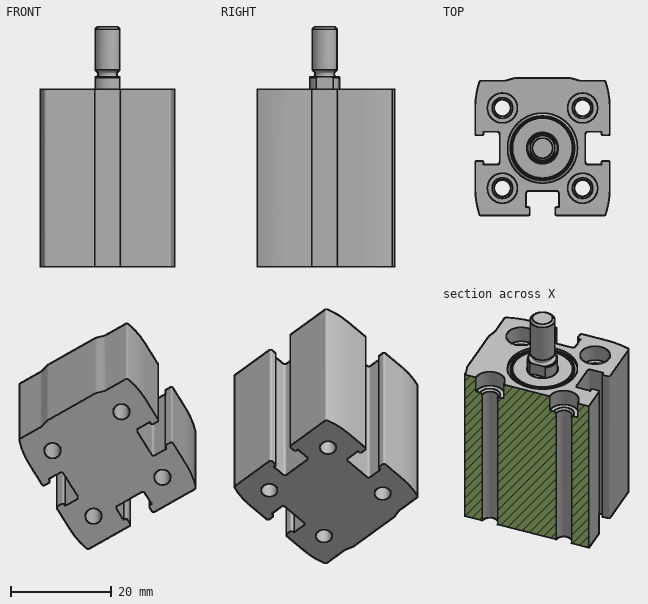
import cadquery as cq
import math


housing_height = 35.5
half_width = 13.5
side_flat_half = 8.0
corner_inset = 0.9
corner_radius = 0.5
pad_height = 0.55
pad_top_half = 5.6
pad_base_half = 7.4
pad_blend_radius = 1.9

slot_mouth_half = 2.55
slot_inner_half = 3.25
slot_floor = 8.6
slot_lip = 11.75
slot_floor_radius = 0.5
slot_lip_radius = 0.4

hole_offset = 8.0
hole_diameter = 3.25
counterbore_diameter = 6.0
counterbore_depth = 3.5
countersink_diameter = 4.15

cover_recess = 0.2
cover_face_radius = 5.65
cover_rim_radius = 6.0
cover_land_radius = 6.3
rim_recess = 0.25
land_recess = 0.5
groove_inner_radius = 6.45
groove_outer_radius = 7.0
groove_inner_depth = 0.3
groove_depth = 0.6
cover_z = housing_height - cover_recess

overall_height = 48.0
rod_diameter = 6.0
rod_radius = rod_diameter / 2
rod_end_depth = 4.8
rod_end_z = housing_height - rod_end_depth
rod_hole_chamfer = 0.15
rod_mouth_z = cover_z - rod_hole_chamfer
collar_top = housing_height + 2.5
collar_chamfer = 0.2
flat_half = 2.5
shoulder_rise = 0.25
thread_radius = 2.5
thread_bottom = 39.35
thread_chamfer = 0.5
neck_diameter = 3.9
neck_radius = neck_diameter / 2
neck_fillet = 0.3


def housing_block():
    """Extruded block with bowed sides and a raised pad along +Y."""
    flank_run = half_width - side_flat_half
    bow_radius = (flank_run**2 + corner_inset**2) / (2 * corner_inset)
    half_angle = math.asin(flank_run / bow_radius) / 2
    mid_x = half_width - bow_radius * (1 - math.cos(half_angle))
    mid_y = side_flat_half + bow_radius * math.sin(half_angle)
    corner_x = half_width - corner_inset
    pad_y = half_width + pad_height
    block = (
        cq.Workplane("XY")
        .moveTo(-corner_x, -half_width)
        .lineTo(corner_x, -half_width)
        .threePointArc((mid_x, -mid_y), (half_width, -side_flat_half))
        .lineTo(half_width, side_flat_half)
        .threePointArc((mid_x, mid_y), (corner_x, half_width))
        .lineTo(pad_base_half, half_width)
        .lineTo(pad_top_half, pad_y)
        .lineTo(-pad_top_half, pad_y)
        .lineTo(-pad_base_half, half_width)
        .lineTo(-corner_x, half_width)
        .threePointArc((-mid_x, mid_y), (-half_width, side_flat_half))
        .lineTo(-half_width, -side_flat_half)
        .threePointArc((-mid_x, -mid_y), (-corner_x, -half_width))
        .close()
        .extrude(housing_height)
    )
    corners = [(x, y) for x in (-corner_x, corner_x) for y in (-half_width, half_width)]
    pad_ends = [(side * x, y) for side in (-1, 1)
                for x, y in ((pad_base_half, half_width), (pad_top_half, pad_y))]
    block = fillet_upright_edges(block, corners, corner_radius)
    return fillet_upright_edges(block, pad_ends, pad_blend_radius)


def fillet_upright_edges(body, points, radius):
    """Round the vertical edges of the body that stand at the given XY points."""
    tolerance = 0.05
    selected = body.edges("|Z").filter(
        lambda edge: any(math.dist((edge.Center().x, edge.Center().y), p) < tolerance for p in points)
    )
    return selected.fillet(radius)


def cut_t_slot(body, turn):
    """Cut one T-slot along Z; turn is the angle from the -Y side about Z."""
    mouth = [(side * slot_mouth_half, -half_width) for side in (-1, 1)]
    lips = [(side * slot_mouth_half, -slot_lip) for side in (-1, 1)]
    floor_corners = [(side * slot_inner_half, -slot_floor) for side in (-1, 1)]
    body = body.rotate((0, 0, 0), (0, 0, 1), -turn)
    opening = (
        cq.Workplane("XY")
        .rect(2 * slot_mouth_half, 2 * half_width)
        .extrude(housing_height)
        .intersect(slot_band(slot_floor, half_width))
    )
    chamber = slot_band(slot_floor, slot_lip)
    body = body.cut(opening).cut(chamber)
    body = fillet_upright_edges(body, floor_corners, slot_floor_radius)
    body = fillet_upright_edges(body, mouth + lips, slot_lip_radius)
    return body.rotate((0, 0, 0), (0, 0, 1), turn)


def slot_band(inner, outer):
    """Block as wide as the slot chamber between two distances from the axis, on the -Y side."""
    return cq.Workplane("XY").box(
        2 * slot_inner_half, outer - inner, housing_height, centered=(True, False, False)
    ).translate((0, -outer, 0))


def mounting_holes():
    """Cutter for the four counterbored through holes."""
    floor_z = housing_height - counterbore_depth
    hole_radius = hole_diameter / 2
    sink_radius = countersink_diameter / 2
    bore_radius = counterbore_diameter / 2
    hole = (
        cq.Workplane("XZ")
        .polyline([
            (0, 0),
            (hole_radius, 0),
            (hole_radius, floor_z - (sink_radius - hole_radius)),
            (sink_radius, floor_z),
            (bore_radius, floor_z),
            (bore_radius, housing_height),
            (0, housing_height),
        ])
        .close()
        .revolve(360, (0, 0), (0, 1))
    )
    cutters = cq.Workplane("XY")
    for x in (-hole_offset, hole_offset):
        for y in (-hole_offset, hole_offset):
            cutters = cutters.add(hole.translate((x, y, 0)))
    return cutters.combine()


def cover_cavity():
    """Cutter above the cover: the sunken face, its two bevels and the sloping ring groove."""
    return (
        cq.Workplane("XZ")
        .polyline([
            (0, housing_height),
            (0, cover_z),
            (cover_face_radius, cover_z),
            (cover_rim_radius, housing_height - rim_recess),
            (cover_land_radius, housing_height - land_recess),
            (groove_inner_radius, housing_height - land_recess),
            (groove_inner_radius, housing_height - groove_inner_depth),
            (groove_outer_radius, housing_height - groove_depth),
            (groove_outer_radius, housing_height),
        ])
        .close()
        .revolve(360, (0, 0), (0, 1))
    )


def rod_bore():
    """Cutter for the bore that holds the rod, chamfered at its mouth."""
    return (
        cq.Workplane("XZ")
        .polyline([
            (0, rod_end_z),
            (rod_radius, rod_end_z),
            (rod_radius, rod_mouth_z),
            (rod_radius + rod_hole_chamfer, cover_z),
            (0, cover_z),
        ])
        .close()
        .revolve(360, (0, 0), (0, 1))
    )


def make_housing():
    body = housing_block()
    for turn in (-90, 0, 90):
        body = cut_t_slot(body, turn)
    return body.cut(mounting_holes()).cut(cover_cavity()).cut(rod_bore())


def make_rod():
    """Rod with a flatted collar, an undercut neck and a threaded end."""
    undercut = thread_radius - neck_radius
    rod = (
        cq.Workplane("XZ")
        .polyline([
            (0, rod_end_z),
            (rod_radius, rod_end_z),
            (rod_radius, collar_top - collar_chamfer),
            (rod_radius - collar_chamfer, collar_top),
            (neck_radius, collar_top),
            (neck_radius, thread_bottom - undercut),
            (thread_radius, thread_bottom),
            (thread_radius, overall_height - thread_chamfer),
            (thread_radius - thread_chamfer, overall_height),
            (0, overall_height),
        ])
        .close()
        .revolve(360, (0, 0), (0, 1))
    )
    neck_ends = rod.edges("%CIRCLE").filter(lambda edge: math.isclose(edge.radius(), neck_radius))
    rod = neck_ends.fillet(neck_fillet)
    return rod.cut(wrench_flats())


def wrench_flats():
    """Cutter for the two flats, which end on a conical shoulder just inside the bore mouth."""
    flat_depth = rod_radius - flat_half
    height = collar_top - rod_mouth_z
    flats = (
        cq.Workplane("XY", origin=(0, 0, rod_mouth_z))
        .pushPoints([(side * (flat_half + flat_depth / 2), 0) for side in (-1, 1)])
        .box(flat_depth, 2 * rod_radius, height, centered=(True, True, False))
    )
    shoulder = (
        cq.Workplane("XZ")
        .polyline([
            (0, rod_mouth_z),
            (rod_radius, rod_mouth_z),
            (flat_half, rod_mouth_z + shoulder_rise),
            (0, rod_mouth_z + shoulder_rise),
        ])
        .close()
        .revolve(360, (0, 0), (0, 1))
    )
    return flats.cut(shoulder)


housing = make_housing()
rod = make_rod()
result = cq.Compound.makeCompound([housing.val(), rod.val()])